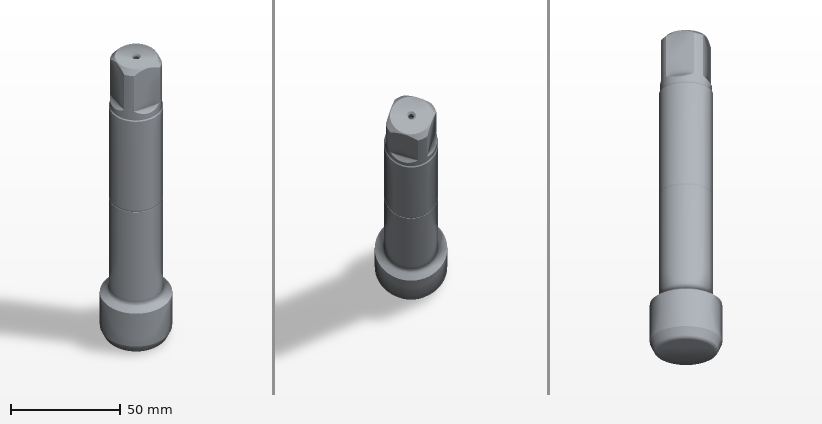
import cadquery as cq

TOTAL_LENGTH = 160.0
SHAFT_RADIUS = 25.0 / 2

HEAD_RADIUS = 33.3 / 2
HEAD_BOTTOM_RADIUS = 14.4
NOSE_TOP = 5.0
NOSE_FILLET = 2.0
HEAD_TOP = 24.0
SHOULDER_TOP = 26.7
SHOULDER_FILLET = 1.3

JOINT_HEIGHT = 79.4
JOINT_RADIUS = 24.6 / 2
JOINT_BEVEL_HEIGHT = 1.0

SELECT_MARGIN = 0.2

NECK_RADIUS = 24.0 / 2
NECK_BOTTOM = 132.2
NECK_EDGE_CHAMFER = SHAFT_RADIUS - NECK_RADIUS
SQUARE_WIDTH = 20.0
SQUARE_LENGTH = 22.9
TIP_RADIUS = 9.6
TIP_CHAMFER = NECK_RADIUS - TIP_RADIUS

CENTER_HOLE_RADIUS = 2.5 / 2
CENTER_MOUTH_RADIUS = 2.2
CENTER_MOUTH_DEPTH = CENTER_MOUTH_RADIUS - CENTER_HOLE_RADIUS
CENTER_HOLE_DEPTH = 4.0
CENTER_POINT_HEIGHT = 0.8


def turned(profile):
    """Revolve (radius, height) points about the Z axis."""
    return cq.Workplane("XZ").polyline(profile).close().revolve(360, (0, 0, 0), (0, 1, 0))


def make_head():
    """Lower body: the head and the lower half of the shaft."""
    blank = turned([
        (0, 0),
        (HEAD_BOTTOM_RADIUS, 0),
        (HEAD_RADIUS, NOSE_TOP),
        (HEAD_RADIUS, HEAD_TOP),
        (SHAFT_RADIUS, SHOULDER_TOP),
        (SHAFT_RADIUS, JOINT_HEIGHT),
        (0, JOINT_HEIGHT),
    ])
    shoulder_corner = cq.selectors.BoxSelector(
        (-HEAD_RADIUS, -HEAD_RADIUS, SHOULDER_TOP - SELECT_MARGIN),
        (HEAD_RADIUS, HEAD_RADIUS, SHOULDER_TOP + SELECT_MARGIN),
    )
    rounded_nose = blank.faces("<Z").edges().fillet(NOSE_FILLET)
    return rounded_nose.edges(shoulder_corner).fillet(SHOULDER_FILLET)


def make_drive_waste():
    """Material outside the square: four flats that run out at 45 degrees at their lower ends."""
    flat_bottom = TOTAL_LENGTH - SQUARE_LENGTH
    runout = SHAFT_RADIUS - SQUARE_WIDTH / 2
    block = cq.Workplane("XY").box(2 * SHAFT_RADIUS, 2 * SHAFT_RADIUS, SQUARE_LENGTH + runout,
                                   centered=(True, True, False))
    block = block.translate((0, 0, flat_bottom - runout))
    square = (
        cq.Workplane("XY")
        .workplane(offset=flat_bottom)
        .rect(SQUARE_WIDTH, SQUARE_WIDTH)
        .extrude(SQUARE_LENGTH)
    )
    square_root = (
        cq.Workplane("XY")
        .workplane(offset=flat_bottom - runout)
        .rect(2 * SHAFT_RADIUS, 2 * SHAFT_RADIUS)
        .workplane(offset=runout)
        .rect(SQUARE_WIDTH, SQUARE_WIDTH)
        .loft(ruled=True)
    )
    return block.cut(square).cut(square_root)


def make_center_hole():
    """Countersunk centre hole with a conical drill point."""
    return turned([
        (0, TOTAL_LENGTH),
        (CENTER_MOUTH_RADIUS, TOTAL_LENGTH),
        (CENTER_HOLE_RADIUS, TOTAL_LENGTH - CENTER_MOUTH_DEPTH),
        (CENTER_HOLE_RADIUS, TOTAL_LENGTH - CENTER_HOLE_DEPTH),
        (0, TOTAL_LENGTH - CENTER_HOLE_DEPTH - CENTER_POINT_HEIGHT),
    ])


def make_drive_shaft():
    """Upper body: the upper half of the shaft and the square drive."""
    blank = turned([
        (0, JOINT_HEIGHT),
        (JOINT_RADIUS, JOINT_HEIGHT),
        (SHAFT_RADIUS, JOINT_HEIGHT + JOINT_BEVEL_HEIGHT),
        (SHAFT_RADIUS, NECK_BOTTOM - NECK_EDGE_CHAMFER),
        (NECK_RADIUS, NECK_BOTTOM),
        (NECK_RADIUS, TOTAL_LENGTH - TIP_CHAMFER),
        (TIP_RADIUS, TOTAL_LENGTH),
        (0, TOTAL_LENGTH),
    ])
    return blank.cut(make_drive_waste()).cut(make_center_hole())


head = make_head()
drive_shaft = make_drive_shaft()
result = cq.Compound.makeCompound([head.val(), drive_shaft.val()])